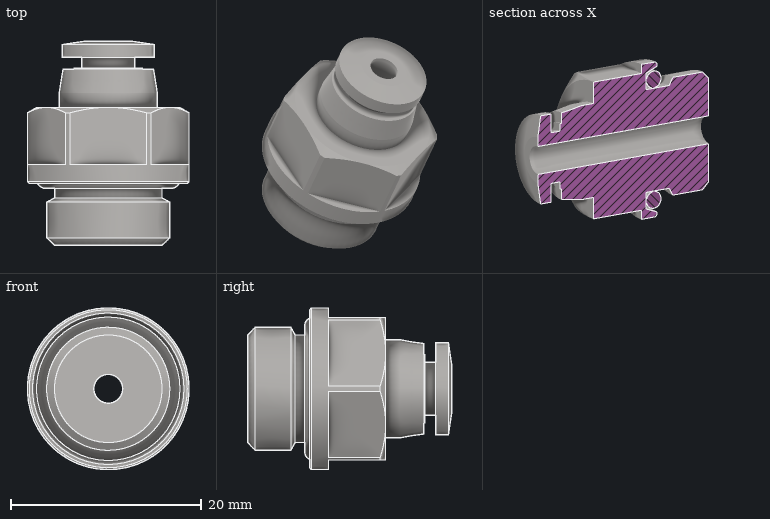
import cadquery as cq
import math


overall_length = 21.45
thread_lead_end = 0.8
thread_end = 4.55
neck_start = 5.0
flange_face = 6.5
flange_back = 8.5
hex_end = 14.5
collar_end = 16.0
taper_end = 18.5
stem_start = 18.65
button_face = 19.75
button_rim = 21.1

bore_radius = 1.5
thread_radius = 6.47
neck_radius = 5.65
flange_radius = 8.5
collar_radius = 5.17
taper_tip_radius = 4.77
shoulder_radius = 3.62
stem_radius = 2.8
button_radius = 4.85
button_end_radius = 2.5

flange_chamfer = 0.2
hex_across_flats = 15.0
hex_chamfer_angle = math.radians(30)

ring_wire_radius = 0.94
ring_centre_radius = neck_radius + ring_wire_radius
ring_protrusion = 0.52
ring_centre_y = flange_face - ring_protrusion + ring_wire_radius
groove_mouth_radius = 7.95
groove_floor_radius = 7.4
groove_floor_y = ring_centre_y + ring_wire_radius


def revolve_about_y(profile):
    return profile.close().revolve(360, (0, 0, 0), (0, 1, 0))


def make_turned_blank():
    """Outer turned shape with the seal groove, hexagon section still round."""
    hex_flat_radius = hex_across_flats / 2
    hex_chamfer_length = (flange_radius - hex_flat_radius) * math.tan(hex_chamfer_angle)
    profile = (
        cq.Workplane("XY")
        .moveTo(bore_radius, 0)
        .lineTo(neck_radius, 0)
        .lineTo(thread_radius, thread_lead_end)
        .lineTo(thread_radius, thread_end)
        .lineTo(neck_radius, neck_start)
        .lineTo(neck_radius, groove_floor_y)
        .lineTo(groove_floor_radius, groove_floor_y)
        .lineTo(groove_mouth_radius, flange_face)
        .lineTo(flange_radius - flange_chamfer, flange_face)
        .lineTo(flange_radius, flange_face + flange_chamfer)
        .lineTo(flange_radius, hex_end - hex_chamfer_length)
        .lineTo(hex_flat_radius, hex_end)
        .lineTo(collar_radius, hex_end)
        .lineTo(collar_radius, collar_end)
        .lineTo(taper_tip_radius, taper_end)
        .lineTo(shoulder_radius, taper_end)
        .lineTo(shoulder_radius, stem_start)
        .lineTo(stem_radius, stem_start)
        .lineTo(stem_radius, button_face)
        .lineTo(button_radius, button_face)
        .lineTo(button_radius, button_rim)
        .lineTo(button_end_radius, overall_length)
        .lineTo(bore_radius, overall_length)
    )
    return revolve_about_y(profile)


def make_hex_flat_cutter():
    """Material outside the hexagon, between the flange and the collar; two flats face +Z and -Z."""
    hex_across_corners = hex_across_flats / math.cos(math.pi / 6)
    return (
        cq.Workplane("XZ", origin=(0, flange_back, 0))
        .circle(hex_across_corners)
        .polygon(6, hex_across_corners)
        .extrude(flange_back - hex_end)
    )


def make_fitting_body():
    return make_turned_blank().cut(make_hex_flat_cutter())


def make_seal_ring():
    profile = cq.Workplane("XY").center(ring_centre_radius, ring_centre_y).circle(ring_wire_radius)
    return profile.revolve(360, (-ring_centre_radius, 0, 0), (-ring_centre_radius, 1, 0))


fitting_body = make_fitting_body()
seal_ring = make_seal_ring()

result = cq.Compound.makeCompound([fitting_body.val(), seal_ring.val()])